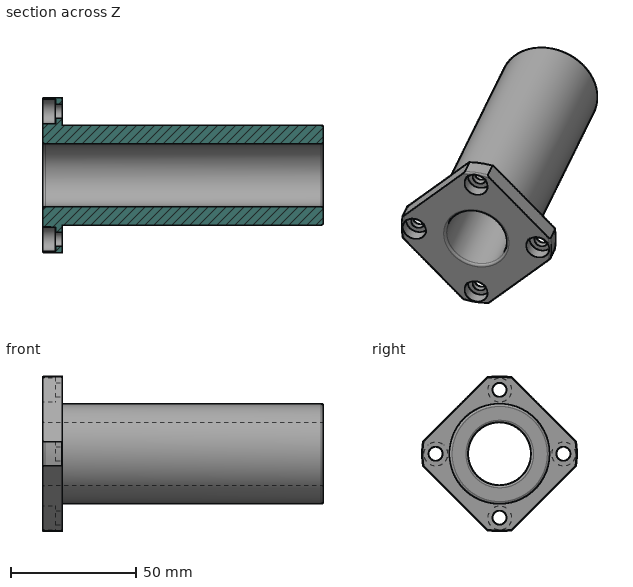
import cadquery as cq

total_length = 112.0
sleeve_diameter = 40.0
sleeve_end_radius = 1.0

flange_diameter = 61.9
flange_across_flats = 50.0
flange_thickness = 8.0
front_rim_radius = 0.8
back_rim_radius = 0.3

bore_diameter = 25.0
bore_mouth_radius = 1.0

hole_circle_diameter = 51.0
hole_diameter = 5.5
counterbore_diameter = 9.5
counterbore_depth = 5.2
hole_count = 4


def cylinder(diameter, length):
    """Cylinder along +X, starting at the flange face X = 0."""
    return cq.Workplane("YZ").circle(diameter / 2).extrude(length)


def make_flange():
    disc = cylinder(flange_diameter, flange_thickness)
    disc = disc.faces("<X").edges().fillet(front_rim_radius)
    disc = disc.faces(">X").edges().fillet(back_rim_radius)
    square = (
        cq.Workplane("YZ")
        .rect(flange_across_flats, flange_across_flats)
        .extrude(flange_thickness)
        .rotate((0, 0, 0), (1, 0, 0), 45)
    )
    return disc.intersect(square)


def make_sleeve():
    return cylinder(sleeve_diameter, total_length).faces(">X").edges().fillet(sleeve_end_radius)


def round_bore_mouths(part):
    """Round the bore edge at both end faces."""
    half_box = bore_diameter / 2 + bore_mouth_radius
    mouths = cq.selectors.BoxSelector(
        (-half_box, -half_box, -half_box),
        (total_length + half_box, half_box, half_box),
        boundingbox=True,
    )
    return part.edges("%CIRCLE").edges(mouths).fillet(bore_mouth_radius)


def make_mounting_holes():
    """Stepped cutters on the hole circle, counterbored from the flange face."""
    hole = cylinder(hole_diameter, flange_thickness)
    cutter = hole.union(cylinder(counterbore_diameter, counterbore_depth))
    cutter = cutter.translate((0, 0, hole_circle_diameter / 2))
    cutters = cq.Workplane("YZ")
    for index in range(hole_count):
        angle = index * 360 / hole_count
        cutters = cutters.add(cutter.rotate((0, 0, 0), (1, 0, 0), angle))
    return cutters.combine()


body = make_flange().union(make_sleeve())
body = round_bore_mouths(body.cut(cylinder(bore_diameter, total_length)))
result = body.cut(make_mounting_holes())